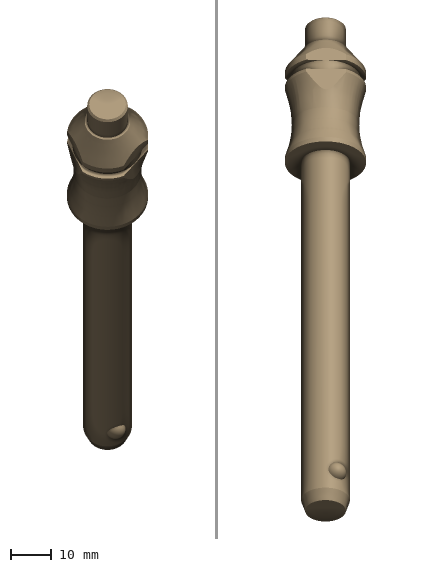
import cadquery as cq
import math

shank_radius = 6.0
shank_length = 100.8
tip_radius = 5.0
tip_length = 3.0

grip_radius = 10.0
waist_radius = 8.3
foot_band_height = 1.3
waist_height = 11.0
upper_band_bottom = 21.0
groove_bottom = 21.8
groove_top = 24.4
groove_radius = 8.6
cone_bottom = 26.1
grip_height = 32.2
shoulder_radius = 6.3
shoulder_bottom = 31.2
rim_radius = 5.6

button_radius = 5.0
button_height = 7.1
button_chamfer = 0.5

flat_count = 3
flat_distance = 8.7
first_flat_angle = -90.0

ball_radius = 2.5
ball_reach = 7.5
ball_height = 8.4


def waist_arc_point(end_height):
    """Point halfway up an arc that is upright at the waist and ends at the grip radius."""
    rise = end_height - waist_height
    flare = grip_radius - waist_radius
    arc_radius = (rise**2 + flare**2) / (2 * flare)
    half_rise = rise / 2
    half_flare = arc_radius - math.sqrt(arc_radius**2 - half_rise**2)
    return waist_radius + half_flare, waist_height + half_rise


def make_shank():
    return (
        cq.Workplane("XZ")
        .moveTo(0, -shank_length)
        .lineTo(tip_radius, -shank_length)
        .lineTo(shank_radius, tip_length - shank_length)
        .lineTo(shank_radius, groove_bottom)
        .lineTo(0, groove_bottom)
        .close()
        .revolve(360, (0, 0, 0), (0, 1, 0))
    )


def make_grip():
    return (
        cq.Workplane("XZ")
        .lineTo(grip_radius, 0)
        .lineTo(grip_radius, foot_band_height)
        .threePointArc(waist_arc_point(foot_band_height), (waist_radius, waist_height))
        .threePointArc(waist_arc_point(upper_band_bottom), (grip_radius, upper_band_bottom))
        .lineTo(grip_radius, groove_bottom)
        .lineTo(groove_radius, groove_bottom)
        .lineTo(groove_radius, groove_top)
        .lineTo(grip_radius, groove_top)
        .lineTo(grip_radius, cone_bottom)
        .lineTo(shoulder_radius, shoulder_bottom)
        .lineTo(rim_radius, grip_height)
        .lineTo(0, grip_height)
        .close()
        .revolve(360, (0, 0, 0), (0, 1, 0))
    )


def make_flat_cutter(angle):
    """Block that removes everything beyond one flat, above the waist only."""
    return (
        cq.Workplane("XY")
        .workplane(offset=waist_height)
        .box(grip_radius, 2 * grip_radius, grip_height - waist_height, centered=(False, True, False))
        .translate((flat_distance, 0, 0))
        .rotate((0, 0, 0), (0, 0, 1), angle)
    )


def make_button():
    return (
        cq.Workplane("XY")
        .workplane(offset=grip_height)
        .circle(button_radius)
        .extrude(button_height)
        .faces(">Z")
        .chamfer(button_chamfer)
    )


def make_ball(side):
    center_x = side * (ball_reach - ball_radius)
    return cq.Workplane("XY").sphere(ball_radius).translate((center_x, 0, ball_height - shank_length))


grip = make_grip()
for index in range(flat_count):
    grip = grip.cut(make_flat_cutter(first_flat_angle + index * 360 / flat_count))

result = make_shank().union(grip).union(make_button())
for side in (-1, 1):
    result = result.union(make_ball(side))